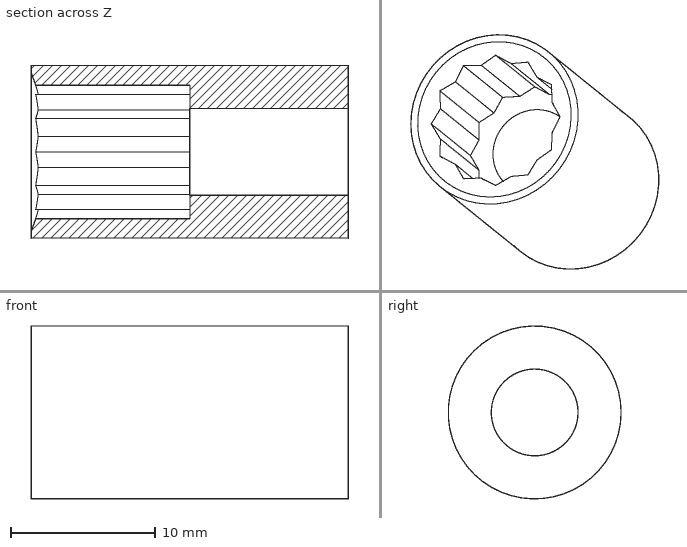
import cadquery as cq
import math

length = 22.0
outer_diameter = 12.0
across_flats = 8.0
recess_depth = length / 2
bore_diameter = 6.0
lead_in_diameter = 11.0
lead_in_angle = 20.0

hexagon_corner_diameter = across_flats / math.cos(math.radians(30))
lead_in_depth = lead_in_diameter / 2 * math.tan(math.radians(lead_in_angle))
open_end_x = -length / 2


def open_end_plane():
    """Plane on the open end face, with its normal pointing into the part."""
    return cq.Workplane("YZ", origin=(open_end_x, 0, 0))


def hexagon_prism(rotation):
    """Hexagonal cutter turned about the part axis by the given angle in degrees."""
    prism = open_end_plane().polygon(6, hexagon_corner_diameter).extrude(recess_depth)
    return prism.rotate((0, 0, 0), (1, 0, 0), rotation)


def lead_in_cone():
    """Cone that narrows from the mouth to an apex on the part axis."""
    cone = cq.Solid.makeCone(
        lead_in_diameter / 2,
        0,
        lead_in_depth,
        pnt=cq.Vector(open_end_x, 0, 0),
        dir=cq.Vector(1, 0, 0),
    )
    return cq.Workplane(cone)


body = open_end_plane().circle(outer_diameter / 2).extrude(length)
bore = open_end_plane().circle(bore_diameter / 2).extrude(length)
twelve_point_recess = hexagon_prism(0).union(hexagon_prism(30))

result = body.cut(bore).cut(twelve_point_recess).cut(lead_in_cone())